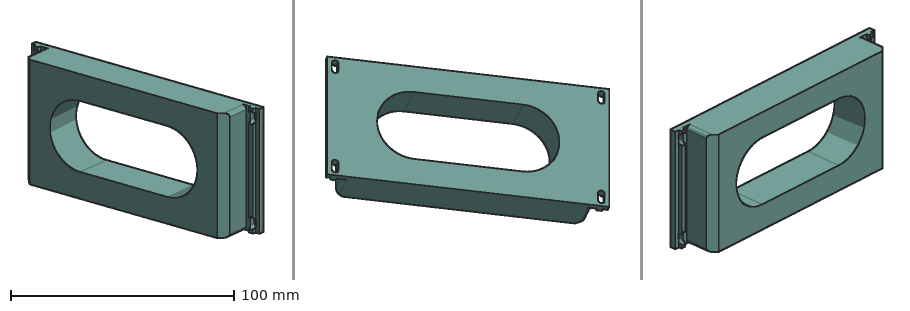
import cadquery as cq

length = 129.9
depth = 19.0
height = 60.0
plate_thickness = 3.1

block_inset = 7.5
block_length = length - 2 * block_inset
front_chamfer = 3.9
corner_radius = 2.0

opening_length = 83.9
opening_height = 34.0

rail_inset = 3.6
rail_base_width = 3.0
rail_tip_width = 2.3
rail_height = 1.5

slot_length = 6.4
slot_width = 3.1
slot_end_distance = 4.7

plate_front = -plate_thickness
rail_x = length / 2 - rail_inset
slot_z = height / 2 - slot_end_distance


def make_plate():
    return cq.Workplane("XY").box(length, plate_thickness, height).translate((0, -plate_thickness / 2, 0))


def make_block():
    block = cq.Workplane("XY").box(block_length, depth, height).translate((0, -depth / 2, 0))
    block = block.edges("|Y").fillet(corner_radius)
    for side in (-1, 1):
        end_x = side * block_length / 2
        bevel = (
            cq.Workplane("XY")
            .polyline([
                (end_x, -depth),
                (end_x - side * front_chamfer, -depth),
                (end_x, -depth + front_chamfer),
            ])
            .close()
            .extrude(height / 2, both=True)
        )
        block = block.cut(bevel)
    return block


def make_rail(center_x):
    return (
        cq.Workplane("XY")
        .polyline([
            (center_x - rail_base_width / 2, plate_front),
            (center_x - rail_tip_width / 2, plate_front - rail_height),
            (center_x + rail_tip_width / 2, plate_front - rail_height),
            (center_x + rail_base_width / 2, plate_front),
        ])
        .close()
        .extrude(height / 2, both=True)
    )


def make_opening():
    return cq.Workplane("XZ").slot2D(opening_length, opening_height).extrude(depth)


def make_slots():
    centers = [(x, z) for x in (-rail_x, rail_x) for z in (-slot_z, slot_z)]
    return (
        cq.Workplane("XZ")
        .pushPoints(centers)
        .slot2D(slot_length, slot_width, angle=90)
        .extrude(plate_thickness + rail_height)
    )


result = make_plate().union(make_block())
for rail_center in (-rail_x, rail_x):
    result = result.union(make_rail(rail_center))
result = result.cut(make_opening()).cut(make_slots())